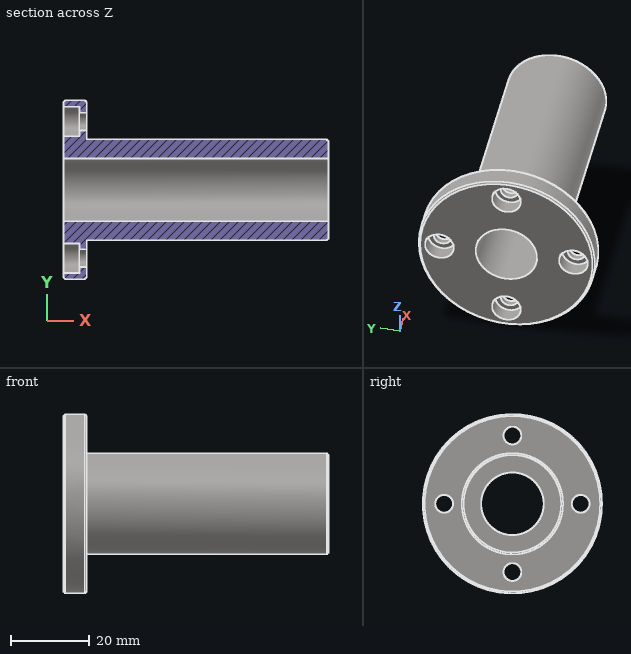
import cadquery as cq

total_length = 68.0
body_diameter = 26.0
bore_diameter = 16.0
body_end_chamfer = 0.5

flange_diameter = 46.0
flange_thickness = 6.0
flange_chamfer = 0.5

screw_count = 4
screw_circle_diameter = 35.0
screw_hole_diameter = 4.5
counterbore_diameter = 7.5
counterbore_depth = 4.1

flange_face_x = -total_length / 2


def disc(start_x, length, diameter):
    """Solid cylinder along +X starting at start_x."""
    return cq.Workplane("YZ", origin=(start_x, 0, 0)).circle(diameter / 2).extrude(length)


def make_flange():
    flange = disc(flange_face_x, flange_thickness, flange_diameter)
    return flange.edges().chamfer(flange_chamfer)


def make_body():
    body = disc(flange_face_x, total_length, body_diameter)
    return body.faces(">X").edges().chamfer(body_end_chamfer)


def screw_pattern(depth, diameter):
    """Ring of cylinders sunk into the flange from its -X face."""
    return (
        cq.Workplane("YZ", origin=(flange_face_x, 0, 0))
        .polarArray(screw_circle_diameter / 2, 0, 360, screw_count)
        .circle(diameter / 2)
        .extrude(depth)
    )


result = make_flange().union(make_body())
result = result.cut(disc(flange_face_x, total_length, bore_diameter))
result = result.cut(screw_pattern(flange_thickness, screw_hole_diameter))
result = result.cut(screw_pattern(counterbore_depth, counterbore_diameter))